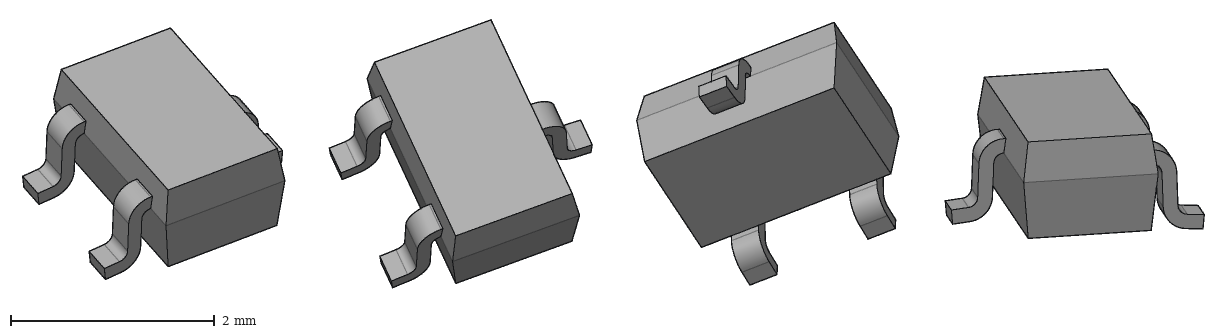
import cadquery as cq
import math

BODY_LENGTH = 2.2
BODY_WIDTH = 1.35
STANDOFF = 0.1
LOWER_HEIGHT = 0.6
UPPER_HEIGHT = 0.398
TOP_INSET = 0.055
BOTTOM_INSET = 0.058
PARTING_Z = STANDOFF + LOWER_HEIGHT

LEAD_SPAN = 2.4
LEAD_WIDTH = 0.3
LEAD_THICKNESS = 0.15
LEAD_PITCH = 1.3
EMBED_DEPTH = 0.145
INNER_BEND_RADIUS = 0.1
MID_BEND_RADIUS = INNER_BEND_RADIUS + LEAD_THICKNESS / 2
SHANK_ANGLE = math.radians(88)
FOOT_ANGLE = math.radians(5)


def frustum(end_inset, height):
    """Half of the body, from the parting plane to a smaller end face."""
    return (
        cq.Workplane("XY", origin=(0, 0, PARTING_Z))
        .rect(BODY_LENGTH, BODY_WIDTH)
        .workplane(offset=height)
        .rect(BODY_LENGTH - 2 * end_inset, BODY_WIDTH - 2 * end_inset)
        .loft(ruled=True)
    )


def straight_lengths():
    """Shank and foot lengths that put the foot tip at the full span and at Z = 0."""
    half = LEAD_THICKNESS / 2
    bends_out = MID_BEND_RADIUS * (2 * math.sin(SHANK_ANGLE) - math.sin(FOOT_ANGLE))
    bends_down = MID_BEND_RADIUS * (1 + math.cos(FOOT_ANGLE) - 2 * math.cos(SHANK_ANGLE))
    out = (LEAD_SPAN - BODY_WIDTH) / 2 - half * math.sin(FOOT_ANGLE) - bends_out
    down = PARTING_Z + half - half * math.cos(FOOT_ANGLE) - bends_down
    cross = math.sin(SHANK_ANGLE - FOOT_ANGLE)
    shank = (down * math.cos(FOOT_ANGLE) - out * math.sin(FOOT_ANGLE)) / cross
    foot = (out * math.sin(SHANK_ANGLE) - down * math.cos(SHANK_ANGLE)) / cross
    return shank, foot


def lead(x, side):
    """One lead centred at x, leaving the body on the +Y (side 1) or -Y (side -1) face."""
    shank, foot = straight_lengths()
    start = (BODY_WIDTH / 2, PARTING_Z + LEAD_THICKNESS / 2)
    upper_centre = (start[0], start[1] - MID_BEND_RADIUS)

    def on_bend(centre, radius, angle):
        """Point on a bend where the strip slopes down by the given angle."""
        return centre[0] + radius * math.sin(angle), centre[1] + radius * math.cos(angle)

    lower_centre = on_bend(upper_centre, 2 * MID_BEND_RADIUS, SHANK_ANGLE)
    lower_centre = (
        lower_centre[0] + shank * math.cos(SHANK_ANGLE),
        lower_centre[1] - shank * math.sin(SHANK_ANGLE),
    )

    def edge(offset):
        """Points along the strip at an offset from its centreline, body to tip."""
        upper_radius = MID_BEND_RADIUS + offset
        lower_radius = -(MID_BEND_RADIUS - offset)
        foot_start = on_bend(lower_centre, lower_radius, FOOT_ANGLE)
        return [
            (start[0] - EMBED_DEPTH, start[1] + offset),
            (start[0], start[1] + offset),
            on_bend(upper_centre, upper_radius, SHANK_ANGLE / 2),
            on_bend(upper_centre, upper_radius, SHANK_ANGLE),
            on_bend(lower_centre, lower_radius, SHANK_ANGLE),
            on_bend(lower_centre, lower_radius, (SHANK_ANGLE + FOOT_ANGLE) / 2),
            foot_start,
            (
                foot_start[0] + foot * math.cos(FOOT_ANGLE),
                foot_start[1] - foot * math.sin(FOOT_ANGLE),
            ),
        ]

    outer = [(side * y, z) for y, z in edge(LEAD_THICKNESS / 2)]
    inner = [(side * y, z) for y, z in reversed(edge(-LEAD_THICKNESS / 2))]
    return (
        cq.Workplane("YZ", origin=(x, 0, 0))
        .moveTo(*outer[0])
        .lineTo(*outer[1])
        .threePointArc(*outer[2:4])
        .lineTo(*outer[4])
        .threePointArc(*outer[5:7])
        .lineTo(*outer[7])
        .lineTo(*inner[0])
        .lineTo(*inner[1])
        .threePointArc(*inner[2:4])
        .lineTo(*inner[4])
        .threePointArc(*inner[5:7])
        .lineTo(*inner[7])
        .close()
        .extrude(LEAD_WIDTH / 2, both=True)
    )


result = frustum(TOP_INSET, UPPER_HEIGHT).union(frustum(BOTTOM_INSET, -LOWER_HEIGHT))
for lead_x, lead_side in [(-LEAD_PITCH / 2, -1), (LEAD_PITCH / 2, -1), (0, 1)]:
    result = result.union(lead(lead_x, lead_side))